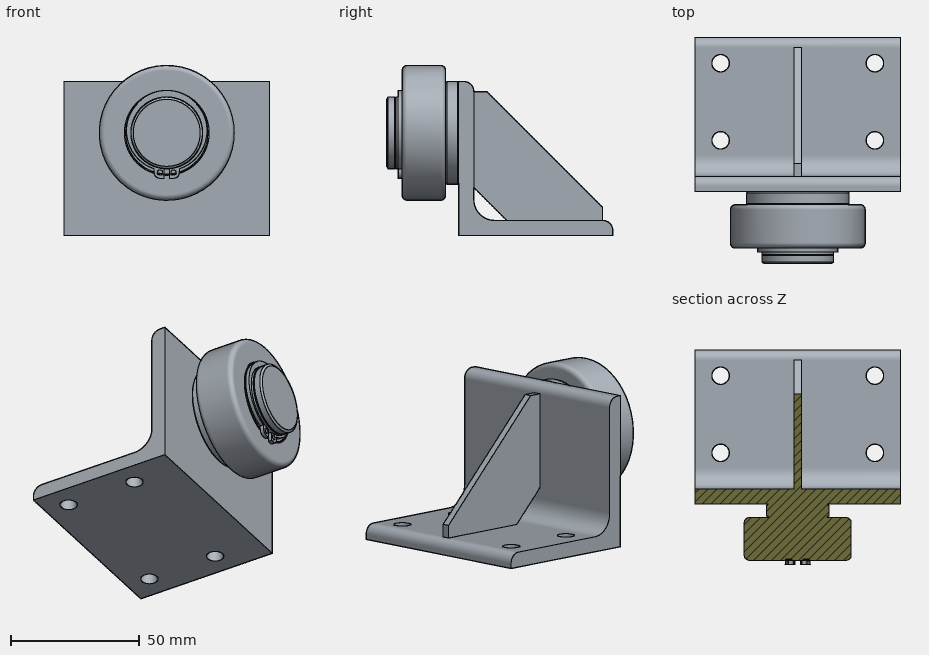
import cadquery as cq

bracket_width = 80.0
leg_length = 60.0
leg_thickness = 6.0
root_radius = 8.0
toe_radius = 4.0

rib_thickness = 3.0
rib_reach = leg_length - toe_radius
rib_end_edge = 5.0
rib_corner_cut = 12.7

hole_diameter = 6.7
hole_spacing_x = 60.0
hole_spacing_y = 30.0
hole_front_y = 20.0

axis_height = bracket_width / 2
roller_diameter = 52.5
roller_start = 5.0
roller_end = 22
roller_fillet = 2.0
collar_diameter = 40.0
collar_chamfer = 0.4

gap_outer_diameter = 33.0
gap_inner_diameter = 32.0
gap_depth = 0.5

pin_diameter = 28.0
pin_end = 88 - leg_length
pin_chamfer_axial = 0.6
pin_chamfer_radial = 1.0
groove_position = 24.6
groove_depth = 0.3

clip_thickness = 1.5
clip_diameter = 31.3
clip_offset = 0.9
clip_opening = 2.2
lug_radius = 2.3
lug_hole_diameter = 2.0
lug_hole_x = 2.6
lug_hole_drop = 15.4


def axis_plane(distance):
    """Workplane facing forward, centred on the roller axis."""
    return cq.Workplane("XZ", origin=(0, -distance, axis_height))


def disc(diameter, start, end):
    """Cylinder on the roller axis."""
    return axis_plane(start).circle(diameter / 2).extrude(end - start)


def make_angle():
    angle = (
        cq.Workplane("YZ")
        .moveTo(0, 0)
        .lineTo(leg_length, 0)
        .lineTo(leg_length, leg_thickness)
        .lineTo(leg_thickness, leg_thickness)
        .lineTo(leg_thickness, leg_length)
        .lineTo(0, leg_length)
        .close()
        .extrude(bracket_width / 2, both=True)
    )
    rounded_edges = [
        (leg_thickness, leg_thickness, root_radius),
        (leg_length, leg_thickness, toe_radius),
        (leg_thickness, leg_length, toe_radius),
    ]
    for y, z, radius in rounded_edges:
        edge = cq.selectors.NearestToPointSelector((0, y, z))
        angle = angle.edges(edge).fillet(radius)

    holes = (
        cq.Workplane("XY")
        .center(0, hole_front_y + hole_spacing_y / 2)
        .rect(hole_spacing_x, hole_spacing_y, forConstruction=True)
        .vertices()
        .circle(hole_diameter / 2)
        .extrude(leg_thickness)
    )
    return angle.cut(holes)


def make_rib():
    slope_end = leg_thickness + rib_end_edge
    cut_end = leg_thickness + rib_corner_cut
    return (
        cq.Workplane("YZ")
        .moveTo(cut_end, leg_thickness)
        .lineTo(rib_reach, leg_thickness)
        .lineTo(rib_reach, slope_end)
        .lineTo(slope_end, rib_reach)
        .lineTo(leg_thickness, rib_reach)
        .lineTo(leg_thickness, cut_end)
        .close()
        .extrude(rib_thickness / 2, both=True)
    )


def make_collar():
    return disc(collar_diameter, 0, roller_start).edges().chamfer(collar_chamfer)


def make_roller():
    roller = disc(roller_diameter, roller_start, roller_end).edges().fillet(roller_fillet)
    gap = (
        axis_plane(roller_end - gap_depth)
        .circle(gap_outer_diameter / 2)
        .circle(gap_inner_diameter / 2)
        .extrude(gap_depth)
    )
    return roller.cut(gap)


def make_pin():
    rear = disc(pin_diameter, 0, groove_position)
    rear = rear.faces("<Y").chamfer(groove_depth)
    front = disc(pin_diameter, groove_position, pin_end)
    front = front.faces(">Y").chamfer(groove_depth)
    front = front.faces("<Y").chamfer(pin_chamfer_axial, pin_chamfer_radial)
    return rear.union(front)


def make_clip():
    plane = axis_plane(roller_end)
    band = plane.center(0, clip_offset).circle(clip_diameter / 2).extrude(clip_thickness)

    lug_half_width = lug_hole_x + lug_radius
    lug_bottom = -lug_hole_drop - lug_radius
    lugs = (
        plane.moveTo(-lug_half_width, 0)
        .lineTo(-lug_half_width, -lug_hole_drop)
        .radiusArc((-lug_hole_x, lug_bottom), -lug_radius)
        .lineTo(lug_hole_x, lug_bottom)
        .radiusArc((lug_half_width, -lug_hole_drop), -lug_radius)
        .lineTo(lug_half_width, 0)
        .close()
        .extrude(clip_thickness)
    )
    opening = (
        plane.center(0, lug_bottom / 2)
        .rect(clip_opening, -lug_bottom)
        .extrude(clip_thickness)
    )
    lug_holes = (
        plane.pushPoints([(-lug_hole_x, -lug_hole_drop), (lug_hole_x, -lug_hole_drop)])
        .circle(lug_hole_diameter / 2)
        .extrude(clip_thickness)
    )
    return band.union(lugs).cut(opening).cut(lug_holes)


result = (
    make_angle()
    .union(make_rib())
    .union(make_collar())
    .union(make_roller())
    .union(make_clip())
    .union(make_pin())
)